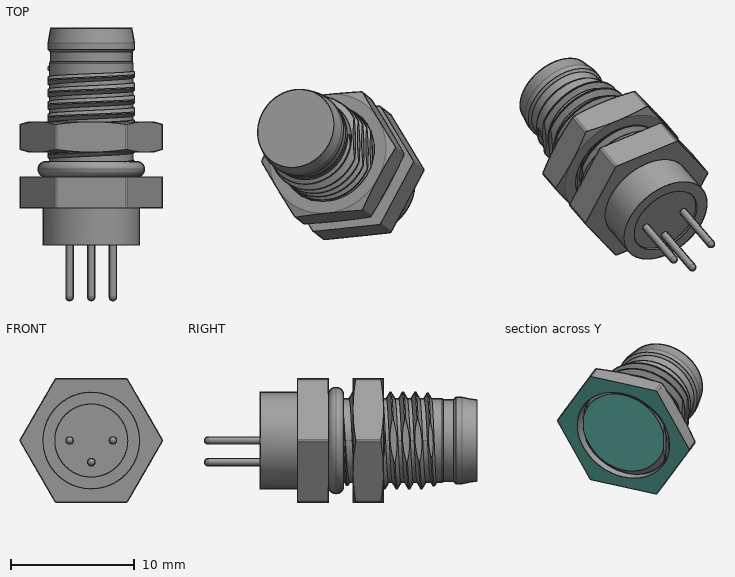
import cadquery as cq
import math


across_flats = 10.0
hex_corner_radius = 0.2
across_corners = across_flats / math.cos(math.pi / 6)

flange_thickness = 2.5
barrel_radius = 3.9
barrel_length = 3.0
barrel_end_y = -flange_thickness - barrel_length

neck_radius = 3.38
groove_radius = 3.31
nose_radius = 3.5
nose_tip_radius = 3.28
nose_tip_y = 12.0
nose_taper_length = 1.2
nose_band_length = 0.5
nose_back_length = 0.2
groove_length = 0.8
groove_step_length = 0.12

ring_outer_radius = 4.3
ring_section_radius = 0.62

insert_radius = 2.95
insert_recess = 0.2
pin_radius = 0.3
pin_offset = 1.75
pin_length = 4.5
pin_positions = [(-pin_offset, 0), (pin_offset, 0), (0, -pin_offset)]

thread_pitch = 1.0
thread_crest_radius = 3.9
thread_start_radius = 3.4
thread_end_radius = 3.62
thread_crest_width = 0.1
thread_half_angle = 30.0
thread_overlap = 0.05
thread_rise_turns = 0.75
thread_full_turns = 5.85
thread_sink_turns = 1.0
thread_end_y = 8.77
thread_flat_width = 2 * nose_radius
curve_points_per_turn = 24

nut_thickness = 2.45
nut_back_y = 2.0
nut_bore_radius = 4.0
nut_chamfer_start_radius = 5.0
nut_chamfer_angle = 16.0


def along_y(start_y):
    """Workplane at start_y whose extrusions run towards -Y; local axes are X and Z."""
    return cq.Workplane("XZ", origin=(0, start_y, 0))


def revolve_about_y(profile):
    return profile.close().revolve(360, (0, 0, 0), (0, 1, 0))


def hex_prism(front_y, thickness):
    prism = along_y(front_y).polygon(6, across_corners).extrude(thickness)
    return prism.edges("|Y").fillet(hex_corner_radius)


def make_neck_and_nose():
    band_front_y = nose_tip_y - nose_taper_length
    band_back_y = band_front_y - nose_band_length
    groove_front_y = band_back_y - nose_back_length
    groove_back_y = groove_front_y - groove_length
    profile = (
        cq.Workplane("XY")
        .moveTo(0, -flange_thickness)
        .lineTo(neck_radius, -flange_thickness)
        .lineTo(neck_radius, groove_back_y - groove_step_length)
        .lineTo(groove_radius, groove_back_y)
        .lineTo(groove_radius, groove_front_y)
        .lineTo(nose_radius, band_back_y)
        .lineTo(nose_radius, band_front_y)
        .lineTo(nose_tip_radius, nose_tip_y)
        .lineTo(0, nose_tip_y)
    )
    return revolve_about_y(profile)


def make_sealing_ring():
    ring_centre = (ring_outer_radius - ring_section_radius, ring_section_radius)
    section = cq.Workplane("XY").center(*ring_centre).circle(ring_section_radius)
    axis_start = (-ring_centre[0], 0, 0)
    axis_end = (-ring_centre[0], 1, 0)
    return section.revolve(360, axis_start, axis_end)


def make_thread():
    """Right-handed trapezoidal tooth that rises from the neck, runs full, and sinks again."""
    depth = thread_crest_radius - neck_radius + thread_overlap
    half_crest = thread_crest_width / 2
    half_base = half_crest + depth * math.tan(math.radians(thread_half_angle))
    rise_end = thread_rise_turns
    full_end = rise_end + thread_full_turns
    last_turn = full_end + thread_sink_turns
    stretches = [
        (0, rise_end, thread_start_radius, thread_crest_radius),
        (rise_end, full_end, thread_crest_radius, thread_crest_radius),
        (full_end, last_turn, thread_crest_radius, thread_end_radius),
    ]

    def helix(radial_drop, shift_y):
        edges = []
        for first, last, first_radius, last_radius in stretches:
            steps = math.ceil((last - first) * curve_points_per_turn)
            points = []
            for step in range(steps + 1):
                progress = step / steps
                turns_from_end = first + progress * (last - first) - last_turn
                radius = first_radius + progress * (last_radius - first_radius) - radial_drop
                angle = 2 * math.pi * turns_from_end
                y = thread_end_y + thread_pitch * turns_from_end + shift_y
                points.append(cq.Vector(-radius * math.cos(angle), y, radius * math.sin(angle)))
            edges.append(cq.Edge.makeSpline(points))
        return cq.Wire.assembleEdges(edges)

    corners = [
        helix(depth, -half_base),
        helix(0, -half_crest),
        helix(0, half_crest),
        helix(depth, half_base),
    ]
    faces = []
    for index, corner in enumerate(corners):
        faces += cq.Face.makeRuledSurface(corners[index - 1], corner).Faces()
    for end in (cq.Wire.startPoint, cq.Wire.endPoint):
        outline = cq.Wire.makePolygon([end(corner) for corner in corners], close=True)
        faces.append(cq.Face.makeFromWires(outline))
    tooth = cq.Workplane(cq.Solid.makeSolid(cq.Shell.makeShell(faces)))

    slab_size = 4 * nose_tip_y
    slab = cq.Workplane("XY").box(thread_flat_width, slab_size, slab_size)
    return tooth.intersect(slab)


def make_pins():
    insert_y = barrel_end_y + insert_recess
    shaft_length = pin_length + insert_recess - pin_radius
    shafts = along_y(insert_y).pushPoints(pin_positions).circle(pin_radius).extrude(shaft_length)
    tip_y = insert_y - shaft_length
    tips = along_y(tip_y).pushPoints(pin_positions).sphere(pin_radius)
    return shafts.union(tips)


def make_connector():
    barrel = along_y(-flange_thickness).circle(barrel_radius).extrude(barrel_length)
    recess = along_y(barrel_end_y + insert_recess).circle(insert_radius).extrude(insert_recess)
    return (
        make_neck_and_nose()
        .union(make_thread())
        .union(hex_prism(0, flange_thickness))
        .union(make_sealing_ring())
        .union(barrel)
        .cut(recess)
        .union(make_pins())
    )


def make_nut():
    front_y = nut_back_y + nut_thickness
    middle_y = nut_back_y + nut_thickness / 2
    rim_radius = across_corners / 2
    rim_drop = (rim_radius - nut_chamfer_start_radius) * math.tan(math.radians(nut_chamfer_angle))
    half_envelope = revolve_about_y(
        cq.Workplane("XY")
        .moveTo(0, middle_y)
        .lineTo(rim_radius, middle_y)
        .lineTo(rim_radius, front_y - rim_drop)
        .lineTo(nut_chamfer_start_radius, front_y)
        .lineTo(0, front_y)
    )
    envelope = half_envelope.union(half_envelope.mirror("XZ", (0, middle_y, 0)))
    bore = along_y(front_y).circle(nut_bore_radius).extrude(nut_thickness)
    return hex_prism(front_y, nut_thickness).intersect(envelope).cut(bore)


connector = make_connector()
nut = make_nut()
result = cq.Compound.makeCompound([connector.solids().val(), nut.solids().val()])